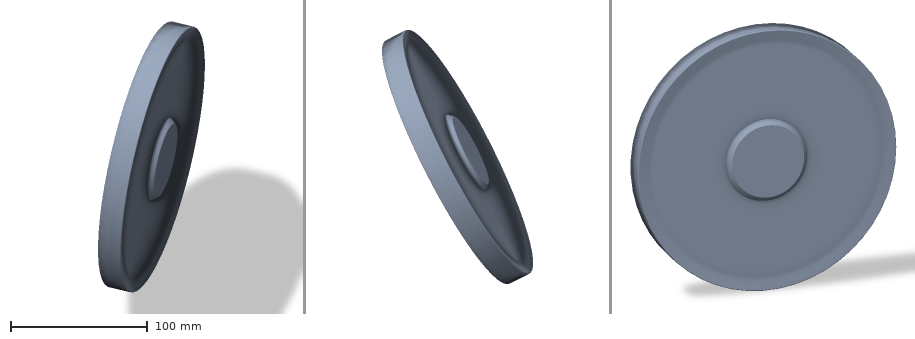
import cadquery as cq
import math

outer_diameter = 200.0
edge_diameter = 198.5
corner_diameter = 180.7
blend_reach = 1.4
hub_base_diameter = 62.5
hub_top_diameter = 55.4
overall_width = 22.0
rim_width = 17.5
floor_width = 14.0

outer_radius = outer_diameter / 2
edge_radius = edge_diameter / 2
edge_round = outer_radius - edge_radius
half_rim = rim_width / 2
corner_radius = corner_diameter / 2
wall_angle = math.atan2((rim_width - floor_width) / 2, edge_radius - corner_radius)


def half_wheel(side):
    """Revolve one half about X: a dished disc with a rounded rim and a tapered hub."""
    hub_face = side * overall_width / 2
    dish_floor = side * floor_width / 2
    rim_face = side * half_rim
    round_start = side * (half_rim - edge_round)
    wall_start = (
        dish_floor + side * blend_reach * math.sin(wall_angle),
        corner_radius + blend_reach * math.cos(wall_angle),
    )
    diagonal = edge_round * 0.5 ** 0.5
    round_middle = (round_start + side * diagonal, edge_radius + diagonal)
    return (
        cq.Workplane("XY")
        .moveTo(0, 0)
        .lineTo(hub_face, 0)
        .lineTo(hub_face, hub_top_diameter / 2)
        .lineTo(dish_floor, hub_base_diameter / 2)
        .lineTo(dish_floor, corner_radius - blend_reach)
        .tangentArcPoint(wall_start, relative=False)
        .lineTo(rim_face, edge_radius)
        .threePointArc(round_middle, (round_start, outer_radius))
        .lineTo(0, outer_radius)
        .close()
        .revolve(360, (0, 0, 0), (1, 0, 0))
    )


halves = [half_wheel(side) for side in (-1, 1)]

result = cq.Compound.makeCompound([half.val() for half in halves])